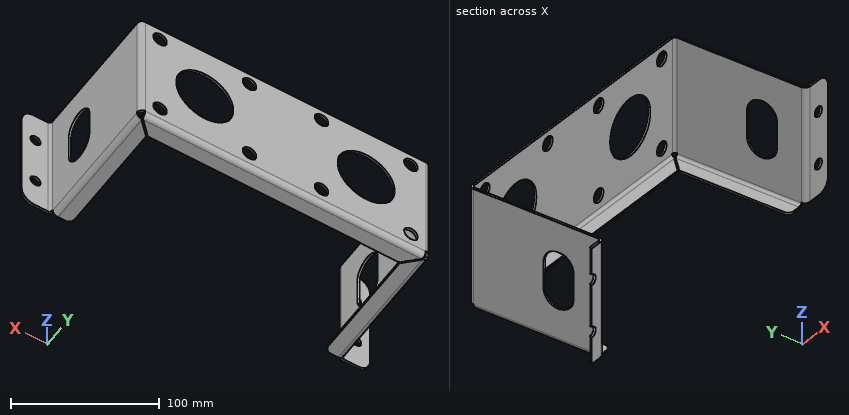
import cadquery as cq

sheet = 2.0
bend_inner = 2.2
bend_outer = bend_inner + sheet

width = 280.0
depth = 112.0
height = 97.0
body_width = 234.0
body_half = body_width / 2
wall_bottom = bend_outer
wall_mid = (wall_bottom + height) / 2

ear_corner_radius = 9.8
ear_hole_diameter = 8.0
ear_hole_inset = 11.0
ear_hole_pitch = 42.0

bore_diameter = 46.0
bore_pitch = 130.0
bolt_hole_diameter = 11.0
bolt_pitch = 72.0

slot_width = 25.2
slot_length = 45.5
slot_from_front = 37.0

lip_width = 15.0
lip_corner_radius = 5.0
miter_gap = 0.98


def bent_walls():
    """Back wall, side walls and ears as one bent strip of sheet, standing upright."""
    ear_end = width / 2
    left_half = (
        cq.Workplane("XY")
        .workplane(offset=wall_bottom)
        .moveTo(0, depth)
        .lineTo(-body_half + bend_outer, depth)
        .radiusArc((-body_half, depth - bend_outer), -bend_outer)
        .lineTo(-body_half, bend_outer)
        .radiusArc((-body_half - bend_inner, sheet), bend_inner)
        .lineTo(-ear_end, sheet)
        .lineTo(-ear_end, 0)
        .lineTo(-body_half - bend_inner, 0)
        .radiusArc((-body_half + sheet, bend_outer), -bend_outer)
        .lineTo(-body_half + sheet, depth - bend_outer)
        .radiusArc((-body_half + bend_outer, depth - sheet), bend_inner)
        .lineTo(0, depth - sheet)
        .close()
        .extrude(height - wall_bottom)
        .edges("<X and |Y")
        .fillet(ear_corner_radius)
    )
    return left_half.union(left_half.mirror("YZ"))


def lip_section(workplane):
    """Bent lip section: outer wall face on the local vertical axis, lip pointing to local +x."""
    return (
        workplane.moveTo(0, bend_outer)
        .radiusArc((bend_outer, 0), -bend_outer)
        .lineTo(lip_width, 0)
        .lineTo(lip_width, sheet)
        .lineTo(bend_outer, sheet)
        .radiusArc((sheet, bend_outer), bend_inner)
        .close()
    )


def side_lip():
    """Lip under the left side wall, with its free front corner rounded."""
    plane = cq.Plane(origin=(-body_half, bend_outer, 0), xDir=(1, 0, 0), normal=(0, -1, 0))
    length = depth - 2 * bend_outer
    return (
        lip_section(cq.Workplane(plane))
        .extrude(-length)
        .edges("|Z and >X and <Y")
        .fillet(lip_corner_radius)
    )


def back_lip():
    """Lip under the back wall, running between the two corner bends."""
    length = body_width - 2 * bend_outer
    plane = cq.Plane(origin=(-length / 2, depth, 0), xDir=(0, -1, 0), normal=(-1, 0, 0))
    return lip_section(cq.Workplane(plane)).extrude(-length)


def miter_slit():
    """Cutter that parts the side lip from the back lip along the left corner diagonal."""
    slit_length = 4 * lip_width
    return (
        cq.Workplane("XY")
        .box(slit_length, miter_gap, bend_outer, centered=(True, True, False))
        .rotate((0, 0, 0), (0, 0, 1), -45)
        .translate((-body_half, depth, 0))
    )


def through_y(points, diameter):
    """Round cutters running the whole depth of the part at (x, z) points."""
    return cq.Workplane("XZ").pushPoints(points).circle(diameter / 2).extrude(-depth)


left_lip = side_lip()
left_slit = miter_slit()
lips = left_lip.union(back_lip()).union(left_lip.mirror("YZ"))
lips = lips.cut(left_slit).cut(left_slit.mirror("YZ"))

bore_points = [(side * bore_pitch / 2, wall_mid) for side in (-1, 1)]
bolt_points = [
    (x + i * bolt_pitch / 2, z + j * bolt_pitch / 2)
    for x, z in bore_points
    for i in (-1, 1)
    for j in (-1, 1)
]
ear_hole_points = [
    (i * (width / 2 - ear_hole_inset), wall_mid + j * ear_hole_pitch / 2)
    for i in (-1, 1)
    for j in (-1, 1)
]

side_slots = (
    cq.Workplane("YZ")
    .center(slot_from_front, wall_mid)
    .slot2D(slot_length, slot_width, 90)
    .extrude(body_half, both=True)
)

result = (
    bent_walls()
    .union(lips)
    .cut(through_y(bore_points, bore_diameter))
    .cut(through_y(bolt_points, bolt_hole_diameter))
    .cut(through_y(ear_hole_points, ear_hole_diameter))
    .cut(side_slots)
)